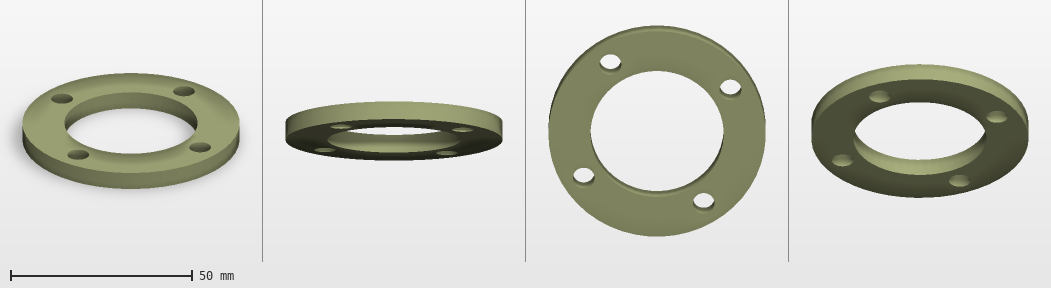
import cadquery as cq

outer_diameter = 60.0
bore_diameter = 36.8
thickness = 5.0

bolt_hole_diameter = 6.0
bolt_circle_diameter = 48.0
bolt_hole_count = 4

ring = (
    cq.Workplane("XY")
    .circle(outer_diameter / 2)
    .circle(bore_diameter / 2)
    .extrude(thickness)
)

bolt_holes = (
    cq.Workplane("XY")
    .polarArray(bolt_circle_diameter / 2, 0, 360, bolt_hole_count)
    .circle(bolt_hole_diameter / 2)
    .extrude(thickness)
)

result = ring.cut(bolt_holes)